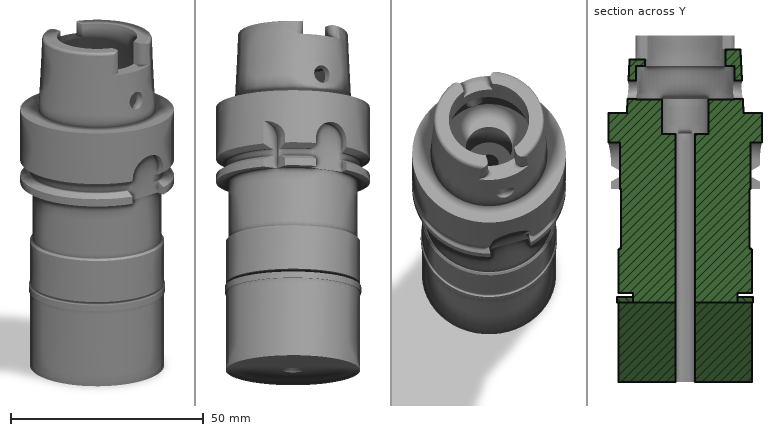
import cadquery as cq

LENGTH = 90.0
NUT_TOP = 20.6
RING_TOP = 22.2
COLLAR_BOTTOM = 23.0
COLLAR_TOP = 34.7
FLANGE_BOTTOM = 50.0
FLANGE_TOP = 70.0

NECK_RADIUS = 13.7
COLLAR_RADIUS = 17.5
COLLAR_CHAMFER = 0.45
SHANK_RADIUS = 16.7
FLANGE_RADIUS = 20.0
TAPER_BASE_RADIUS = 15.2
TAPER_TOP_RADIUS = 14.2
TAPER_RIM_FILLET = 0.8

GROOVE_LOWER_EDGE = 52.0
GROOVE_UPPER_EDGE = 56.2
GROOVE_FLOOR_RADIUS = 17.5
GROOVE_WALL_DEPTH = 1.8
GROOVE_WALL_RISE = 1.1

MOUTH_RADIUS = 10.4
MOUTH_BOTTOM = 82.1
CAVITY_RADIUS = 12.7
CAVITY_FLOOR = 73.5
SOCKET_RADIUS = 6.0
SOCKET_DEPTH = 9.0
PASSAGE_RADIUS = 2.5
CROSS_HOLE_RADIUS = 2.3
CROSS_HOLE_HEIGHT = 76.0

NOTCH_HALF_WIDTH = 3.9
LOBE_HALF_LENGTH = 12.9
LOBE_CORNER_RADIUS = 1.6
SHALLOW_NOTCH_FLOOR = 86.4
DEEP_NOTCH_FLOOR = 83.9

SLOT_RADIUS = 4.6
WIDE_SLOT_RADIUS = 5.5
SLOT_TOP = 62.2
KEYWAY_FLOOR = 17.0
SIDE_SLOT_FLOOR = 12.0
SIDE_SLOT_OFFSET = 16.5

NUT_RADIUS = 17.5
RING_RADIUS = 17.7


def cylinder(radius, bottom, top):
    return cq.Workplane("XY").workplane(offset=bottom).circle(radius).extrude(top - bottom)


def holder_blank():
    outline = [
        (0, NUT_TOP),
        (NECK_RADIUS, NUT_TOP),
        (NECK_RADIUS, COLLAR_BOTTOM),
        (COLLAR_RADIUS, COLLAR_BOTTOM),
        (COLLAR_RADIUS, COLLAR_TOP - COLLAR_CHAMFER),
        (COLLAR_RADIUS - COLLAR_CHAMFER, COLLAR_TOP),
        (SHANK_RADIUS, COLLAR_TOP),
        (SHANK_RADIUS, FLANGE_BOTTOM),
        (FLANGE_RADIUS, FLANGE_BOTTOM),
        (FLANGE_RADIUS, GROOVE_LOWER_EDGE),
        (FLANGE_RADIUS - GROOVE_WALL_DEPTH, GROOVE_LOWER_EDGE + GROOVE_WALL_RISE),
        (GROOVE_FLOOR_RADIUS, GROOVE_LOWER_EDGE + GROOVE_WALL_RISE),
        (GROOVE_FLOOR_RADIUS, GROOVE_UPPER_EDGE - GROOVE_WALL_RISE),
        (FLANGE_RADIUS - GROOVE_WALL_DEPTH, GROOVE_UPPER_EDGE - GROOVE_WALL_RISE),
        (FLANGE_RADIUS, GROOVE_UPPER_EDGE),
        (FLANGE_RADIUS, FLANGE_TOP),
        (TAPER_BASE_RADIUS, FLANGE_TOP),
        (TAPER_TOP_RADIUS, LENGTH),
        (0, LENGTH),
    ]
    blank = cq.Workplane("XZ").polyline(outline).close().revolve(360, (0, 0, 0), (0, 1, 0))
    return blank.faces(">Z").edges().fillet(TAPER_RIM_FILLET)


def holder_bores():
    mouth = cylinder(MOUTH_RADIUS, MOUTH_BOTTOM, LENGTH)
    cavity = cylinder(CAVITY_RADIUS, CAVITY_FLOOR, MOUTH_BOTTOM)
    socket = cylinder(SOCKET_RADIUS, CAVITY_FLOOR - SOCKET_DEPTH, CAVITY_FLOOR)
    passage = cylinder(PASSAGE_RADIUS, 0, CAVITY_FLOOR)
    return mouth.union(cavity).union(socket).union(passage)


def cross_hole():
    return (
        cq.Workplane("YZ")
        .center(0, CROSS_HOLE_HEIGHT)
        .circle(CROSS_HOLE_RADIUS)
        .extrude(FLANGE_RADIUS, both=True)
    )


def drive_notch(side, floor):
    """Cut through the rim at +X or -X, which leaves two lobes with rounded corners."""
    depth = LENGTH - floor
    lobe_width = FLANGE_RADIUS - NOTCH_HALF_WIDTH
    cut = cq.Workplane("XY").workplane(offset=floor)
    cut = cut.center(side * FLANGE_RADIUS / 2, 0).rect(FLANGE_RADIUS, 2 * FLANGE_RADIUS).extrude(depth)
    for end in (1, -1):
        lobe = (
            cq.Workplane("XY")
            .workplane(offset=floor)
            .center(0, end * (NOTCH_HALF_WIDTH + lobe_width / 2))
            .rect(2 * LOBE_HALF_LENGTH, lobe_width)
            .extrude(depth)
            .edges("|Z")
            .edges("<Y" if end > 0 else ">Y")
            .fillet(LOBE_CORNER_RADIUS)
        )
        cut = cut.cut(lobe)
    return cut


def flange_slot(side, floor, radius, offset=0.0):
    """Slot open at the flange's lower face and outer side, with a flat floor at the given X distance."""
    arc_height = SLOT_TOP - radius
    return (
        cq.Workplane("YZ")
        .workplane(offset=side * floor)
        .moveTo(offset - radius, FLANGE_BOTTOM)
        .lineTo(offset - radius, arc_height)
        .threePointArc((offset, SLOT_TOP), (offset + radius, arc_height))
        .lineTo(offset + radius, FLANGE_BOTTOM)
        .close()
        .extrude(side * FLANGE_RADIUS)
    )


def make_holder():
    holder = holder_blank().cut(holder_bores()).cut(cross_hole())
    holder = holder.cut(drive_notch(-1, SHALLOW_NOTCH_FLOOR))
    holder = holder.cut(drive_notch(1, DEEP_NOTCH_FLOOR))
    holder = holder.cut(flange_slot(-1, KEYWAY_FLOOR, SLOT_RADIUS))
    holder = holder.cut(flange_slot(1, KEYWAY_FLOOR, WIDE_SLOT_RADIUS))
    return holder.cut(flange_slot(-1, SIDE_SLOT_FLOOR, SLOT_RADIUS, SIDE_SLOT_OFFSET))


def make_ring():
    return cylinder(RING_RADIUS, NUT_TOP, RING_TOP).cut(cylinder(NECK_RADIUS, NUT_TOP, RING_TOP))


def make_nut():
    return cylinder(NUT_RADIUS, 0, NUT_TOP).cut(cylinder(PASSAGE_RADIUS, 0, NUT_TOP))


holder = make_holder()
ring = make_ring()
nut = make_nut()

result = cq.Compound.makeCompound([holder.val(), ring.val(), nut.val()])